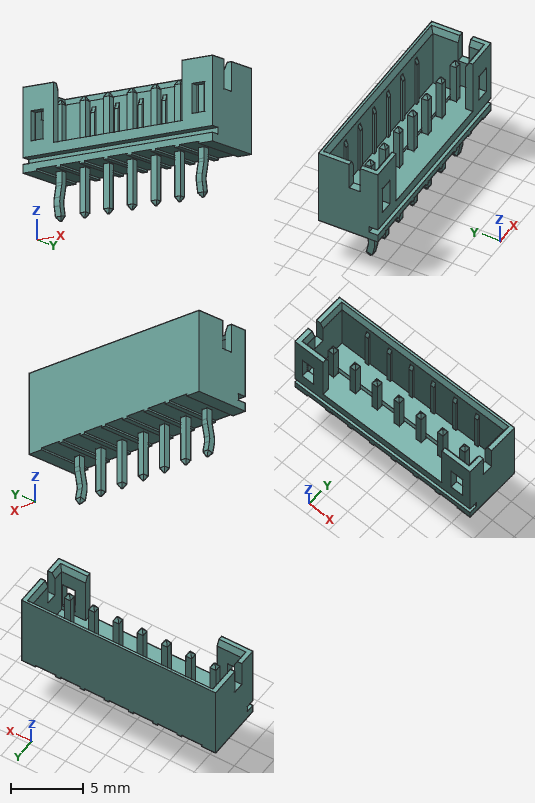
import cadquery as cq
import math


PIN_COUNT = 7
PITCH = 2.0
PIN_SIZE = 0.5
PIN_TOP = 5.25
PIN_BOTTOM = -3.4
TIP_HEIGHT = 0.34
TIP_SIZE = 0.1
TIP_TAPER = math.degrees(math.atan2((PIN_SIZE - TIP_SIZE) / 2, TIP_HEIGHT))

UPPER_BEND_TOP = -0.65
UPPER_BEND_RADIUS = 1.25
UPPER_BEND_ANGLE = math.radians(13)
KINK_LENGTH = 0.9
LOWER_BEND_RADIUS = 1.2
LOWER_BEND_ANGLE = math.radians(12)
FOOT_LENGTH = 0.72

LENGTH = 16.0
DEPTH = 4.7
HEIGHT = 6.11
PIN_TO_FRONT = 1.75
FRONT = -PIN_TO_FRONT
REAR = FRONT + DEPTH

SIDE_WALL = 0.6
FRONT_WALL = 0.58
REAR_WALL = 0.43
BEVEL_WIDTH = 0.24
BEVEL_HEIGHT = 0.48
CAVITY_LENGTH = LENGTH - 2 * SIDE_WALL
CAVITY_FRONT = FRONT + FRONT_WALL
CAVITY_REAR = REAR - REAR_WALL
CAVITY_DEPTH = CAVITY_REAR - CAVITY_FRONT
CAVITY_MIDDLE = (CAVITY_FRONT + CAVITY_REAR) / 2

FLOOR = 1.82
REAR_FLOOR = 1.15
SLOPE_TOP_Y = FRONT + 2.06
SLOPE_BOTTOM_Y = FRONT + 2.6

FRONT_OPENING = 10.83
SIDE_SLOT_FRONT = FRONT + 1.4
SIDE_SLOT_WIDTH = 0.86
SIDE_SLOT_BOTTOM = 4.0
WINDOW_X = 6.8
WINDOW_WIDTH = 1.04
WINDOW_BOTTOM = 2.2
WINDOW_HEIGHT = 2.13

GROOVE_BOTTOM = 0.62
GROOVE_HEIGHT = 0.48
GROOVE_DEPTH = 0.69

RIB_WIDTH = 0.32
RIB_DEPTH = 0.16
RIB_TOP = 5.15
RIB_SHOULDER = 4.72
FOOT_HEIGHT = 0.15
FOOT_WIDTH = 0.4
END_FOOT_LENGTH = 1.17


def row(count):
    """X positions of evenly pitched features centred on X = 0."""
    return [(i - (count - 1) / 2) * PITCH for i in range(count)]


def block(x_size, y_start, y_size, z_start, z_size, x_centre=0.0):
    """Box centred on x_centre, growing in +Y and +Z from its start values."""
    return (
        cq.Workplane("XY")
        .box(x_size, y_size, z_size, centered=(True, False, False))
        .translate((x_centre, y_start, z_start))
    )


def prism_along_x(points, x_size, x_centre=0.0):
    """Closed Y-Z outline extruded along X, centred on x_centre."""
    return (
        cq.Workplane("YZ")
        .polyline(points)
        .close()
        .extrude(x_size / 2, both=True)
        .translate((x_centre, 0, 0))
    )


def cavity():
    """Space inside the walls, with the stepped floor below and the bevelled mouth above."""
    interior = prism_along_x(
        [
            (CAVITY_FRONT, HEIGHT),
            (CAVITY_FRONT, FLOOR),
            (SLOPE_TOP_Y, FLOOR),
            (SLOPE_BOTTOM_Y, REAR_FLOOR),
            (CAVITY_REAR, REAR_FLOOR),
            (CAVITY_REAR, HEIGHT),
        ],
        CAVITY_LENGTH,
    )
    mouth = (
        cq.Workplane("XY", origin=(0, CAVITY_MIDDLE, HEIGHT - BEVEL_HEIGHT))
        .rect(CAVITY_LENGTH, CAVITY_DEPTH)
        .workplane(offset=BEVEL_HEIGHT)
        .rect(CAVITY_LENGTH + 2 * BEVEL_WIDTH, CAVITY_DEPTH + 2 * BEVEL_WIDTH)
        .loft(ruled=True)
    )
    return interior.union(mouth)


def cut_wall_openings(body):
    """Wide front opening, a slot in each side wall and two windows in the front wall."""
    body = body.cut(block(FRONT_OPENING, FRONT, FRONT_WALL, FLOOR, HEIGHT - FLOOR))
    body = body.cut(
        block(LENGTH, SIDE_SLOT_FRONT, SIDE_SLOT_WIDTH, SIDE_SLOT_BOTTOM, HEIGHT - SIDE_SLOT_BOTTOM)
    )
    for x in (-WINDOW_X, WINDOW_X):
        body = body.cut(block(WINDOW_WIDTH, FRONT, FRONT_WALL, WINDOW_BOTTOM, WINDOW_HEIGHT, x))
    return body


def rib(x):
    """Upright rib on the rear wall with a sloping top."""
    rib_front = CAVITY_REAR - RIB_DEPTH
    outline = [
        (CAVITY_REAR, REAR_FLOOR),
        (rib_front, REAR_FLOOR),
        (rib_front, RIB_SHOULDER),
        (CAVITY_REAR, RIB_TOP),
    ]
    return prism_along_x(outline, RIB_WIDTH, x)


def underside_recess():
    """Shallow relief under the base that leaves end feet and narrow feet between pins."""
    recess = block(LENGTH - 2 * END_FOOT_LENGTH, FRONT, DEPTH, 0, FOOT_HEIGHT)
    for x in row(PIN_COUNT - 1):
        recess = recess.cut(block(FOOT_WIDTH, FRONT, DEPTH, 0, FOOT_HEIGHT, x))
    return recess


def make_housing():
    body = block(LENGTH, FRONT, DEPTH, 0, HEIGHT).cut(cavity())
    body = cut_wall_openings(body)
    body = body.cut(block(LENGTH, FRONT, GROOVE_DEPTH, GROOVE_BOTTOM, GROOVE_HEIGHT))
    body = body.cut(underside_recess())
    for x in row(PIN_COUNT - 1):
        body = body.union(rib(x))
    for x in row(PIN_COUNT):
        body = body.cut(block(PIN_SIZE, -PIN_SIZE / 2, PIN_SIZE, 0, FLOOR, x))
    return body


def tip(plane):
    """Blunt pyramid on a pin end, growing along the plane's normal."""
    return cq.Workplane(plane).rect(PIN_SIZE, PIN_SIZE).extrude(TIP_HEIGHT, taper=TIP_TAPER)


def top_tip():
    return tip(cq.Plane(origin=(0, 0, PIN_TOP - TIP_HEIGHT)))


def straight_pin():
    shank_bottom = PIN_BOTTOM + TIP_HEIGHT
    shank_length = PIN_TOP - TIP_HEIGHT - shank_bottom
    shank = block(PIN_SIZE, -PIN_SIZE / 2, PIN_SIZE, shank_bottom, shank_length)
    bottom_plane = cq.Plane(origin=(0, 0, shank_bottom), xDir=(1, 0, 0), normal=(0, 0, -1))
    return shank.union(top_tip()).union(tip(bottom_plane))


def kinked_pin():
    """Pin whose tail bows towards the front so that it grips its board hole."""
    lean_sin, lean_cos = math.sin(UPPER_BEND_ANGLE), math.cos(UPPER_BEND_ANGLE)
    foot_sin, foot_cos = math.sin(LOWER_BEND_ANGLE), math.cos(LOWER_BEND_ANGLE)

    upper_bend = (-UPPER_BEND_RADIUS * (1 - lean_cos), -UPPER_BEND_RADIUS * lean_sin)
    kink = (-KINK_LENGTH * lean_sin, -KINK_LENGTH * lean_cos)
    lower_bend = (
        LOWER_BEND_RADIUS * (lean_cos - foot_cos),
        -LOWER_BEND_RADIUS * (lean_sin + foot_sin),
    )
    foot = (FOOT_LENGTH * foot_sin, -FOOT_LENGTH * foot_cos)

    shank_top = PIN_TOP - TIP_HEIGHT
    axis = (
        cq.Workplane("YZ")
        .moveTo(0, shank_top)
        .lineTo(0, UPPER_BEND_TOP)
        .tangentArcPoint(upper_bend)
        .line(*kink)
        .tangentArcPoint(lower_bend)
        .line(*foot)
    )
    shank = cq.Workplane("XY", origin=(0, 0, shank_top)).rect(PIN_SIZE, PIN_SIZE).sweep(axis)

    steps = (upper_bend, kink, lower_bend, foot)
    foot_y = sum(step[0] for step in steps)
    foot_z = UPPER_BEND_TOP + sum(step[1] for step in steps)
    foot_plane = cq.Plane(
        origin=(0, foot_y, foot_z), xDir=(1, 0, 0), normal=(0, foot_sin, -foot_cos)
    )
    return shank.union(top_tip()).union(tip(foot_plane))


def make_pins():
    """One pin per position, kinked at both ends of the row and straight between."""
    positions = row(PIN_COUNT)
    pins = []
    for x in positions:
        is_end = x in (positions[0], positions[-1])
        pin = kinked_pin() if is_end else straight_pin()
        pins.append(pin.translate((x, 0, 0)))
    return pins


housing = make_housing()
pins = make_pins()

result = cq.Compound.makeCompound([housing.solids().val(), *[pin.solids().val() for pin in pins]])